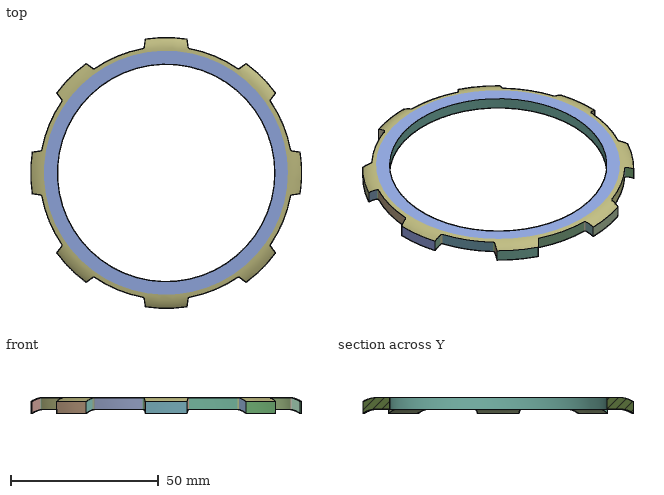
import cadquery as cq
import math

bore_diameter = 73.3
flat_radius = 41.2
rim_radius = 42.75
thickness = 4.0

tooth_count = 8
tip_radius = 45.8
total_height = 5.5
tip_half_width = 7.05
root_half_width = 7.5
root_fillet = 0.5

bore_radius = bore_diameter / 2
drop = total_height - thickness
crown_radius = ((tip_radius - flat_radius) ** 2 + drop**2) / (2 * drop)


def crown_point(radius, flat_height):
    """Point on the drooping rim curve that continues a flat at the given height."""
    reach = radius - flat_radius
    fall = crown_radius - math.sqrt(crown_radius**2 - reach**2)
    return (radius, flat_height - fall)


def dished_disc():
    """Full ring of even thickness whose rim curves downward all round."""
    middle_radius = (flat_radius + tip_radius) / 2
    section = (
        cq.Workplane("XZ")
        .moveTo(bore_radius, drop)
        .lineTo(flat_radius, drop)
        .threePointArc(crown_point(middle_radius, drop), crown_point(tip_radius, drop))
        .lineTo(tip_radius, thickness)
        .threePointArc(crown_point(middle_radius, total_height), (flat_radius, total_height))
        .lineTo(bore_radius, total_height)
        .close()
    )
    return section.revolve(360, (0, 0, 0), (0, 1, 0))


def toothed_outline():
    """Upright prism with tapered teeth around the rim and rounded tooth roots."""
    root_x = math.sqrt(rim_radius**2 - root_half_width**2)
    tip_x = math.sqrt(tip_radius**2 - tip_half_width**2)
    blank = cq.Workplane("XY").circle(rim_radius).extrude(total_height)
    tooth = (
        cq.Workplane("XY")
        .moveTo(0, -root_half_width)
        .lineTo(root_x, -root_half_width)
        .lineTo(tip_x, -tip_half_width)
        .threePointArc((tip_radius, 0), (tip_x, tip_half_width))
        .lineTo(root_x, root_half_width)
        .lineTo(0, root_half_width)
        .close()
        .extrude(total_height)
    )
    for index in range(tooth_count):
        blank = blank.union(tooth.rotate((0, 0, 0), (0, 0, 1), index * 360 / tooth_count))

    root_limit = (rim_radius + tip_radius) / 2
    roots = [
        edge
        for edge in blank.edges("|Z").vals()
        if math.hypot(edge.Center().x, edge.Center().y) < root_limit
    ]
    return blank.newObject(roots).fillet(root_fillet)


result = dished_disc().intersect(toothed_outline())